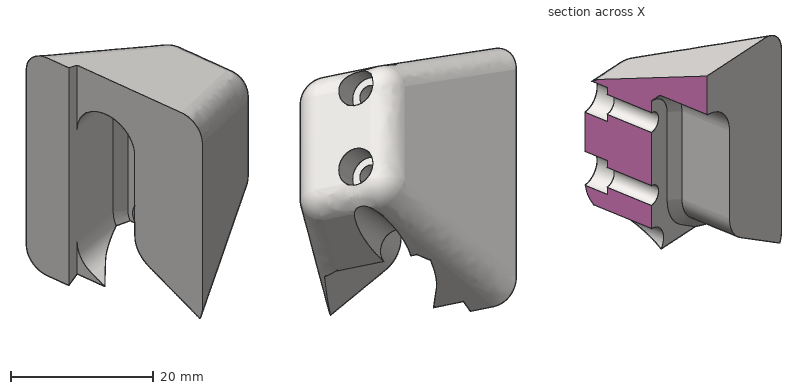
import cadquery as cq
import math

front_width = 30.0
height = 39.0
depth = 24.0
back_left = 7.02
back_right = 22.05
back_height = 19.58
edge_radius = 4.0

step_depth = 2.0

slot_x = 12.48
slot_radius = 5.05
slot_top_z = 7.2
slot_bottom_z = -13.0
slot_floor_y = 12.0
floor_chamfer = 1.5
exit_angle = math.radians(30)
exit_length = 39.0
bend_radius = 5.0

screw_diameter = 3.2
screw_head_diameter = 5.5
screw_head_depth = 4.0
screw_spacing = 12.0
access_diameter = 5.45


def make_body():
    """Four-sided frustum with rounded long edges and back rim."""
    back_center = (back_left + back_right) / 2
    body = (
        cq.Workplane("XZ")
        .center(front_width / 2, 0)
        .rect(front_width, height)
        .workplane(offset=-depth)
        .center(back_center - front_width / 2, 0)
        .rect(back_right - back_left, back_height)
        .loft(ruled=True)
    )
    return body.edges("not <Y").fillet(edge_radius)


def around(center, radius, angle):
    """Point on a circle at the given angle from +X."""
    return (center[0] + radius * math.cos(angle), center[1] + radius * math.sin(angle))


def make_slot():
    """Upright slot that bends at its foot into an exit leg falling to the right."""
    left_x = slot_x - slot_radius
    right_x = slot_x + slot_radius
    foot = (slot_x, slot_bottom_z)

    upper_normal = math.pi / 2 - exit_angle
    lower_normal = upper_normal + math.pi

    corner_z = slot_bottom_z + slot_radius * math.tan(upper_normal / 2)
    tangent_length = bend_radius * math.tan(upper_normal / 2)
    bend = (right_x + bend_radius, corner_z + tangent_length)
    mid_angle = (math.pi + lower_normal) / 2

    exit_end = around(foot, exit_length, -exit_angle)
    slot = (
        cq.Workplane("XZ")
        .moveTo(left_x, slot_top_z)
        .threePointArc((slot_x, slot_top_z + slot_radius), (right_x, slot_top_z))
        .lineTo(right_x, bend[1])
        .threePointArc(around(bend, bend_radius, mid_angle), around(bend, bend_radius, lower_normal))
        .lineTo(*around(exit_end, slot_radius, upper_normal))
        .lineTo(*around(exit_end, slot_radius, lower_normal))
        .lineTo(*around(foot, slot_radius, lower_normal))
        .threePointArc(around(foot, slot_radius, mid_angle), (left_x, slot_bottom_z))
        .close()
        .extrude(-slot_floor_y)
    )
    return slot.faces(">Y").edges().chamfer(floor_chamfer)


def hole(z, diameter, start_y):
    """Round hole from start_y out through the back."""
    return (
        cq.Workplane("XZ", origin=(slot_x, start_y, z))
        .circle(diameter / 2)
        .extrude(start_y - depth)
    )


def make_step():
    """Recess of the front face to the right of the slot's left wall."""
    step = cq.Workplane("XY").box(front_width, step_depth, height, centered=(False, False, True))
    return step.translate((slot_x - slot_radius, 0, 0))


result = make_body().cut(make_step()).cut(make_slot())
for screw_z in (slot_top_z, slot_top_z - screw_spacing):
    result = result.cut(hole(screw_z, screw_diameter, 0))
    result = result.cut(hole(screw_z, screw_head_diameter, depth - screw_head_depth))
result = result.cut(hole(slot_bottom_z, access_diameter, 0))